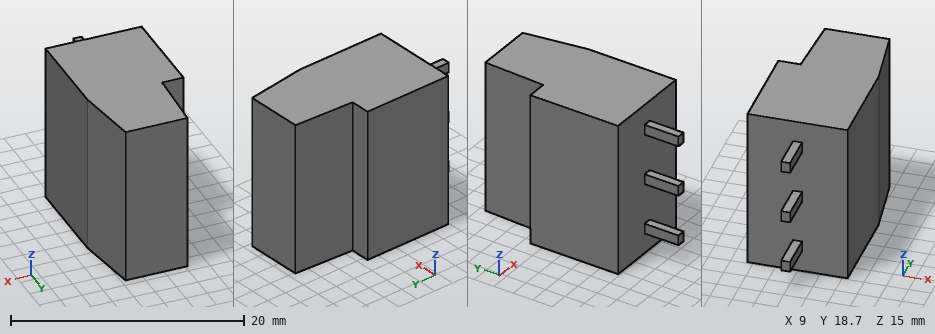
import cadquery as cq

body_width = 9.0
total_depth = 18.7
body_height = 15.0

base_depth = 9.05
pin_length = 3.5
housing_depth = total_depth - pin_length
step_width = 2.0
left_taper = 0.3
right_taper = 0.9

pin_count = 3
pin_pitch = body_height / pin_count
pin_width = 0.8
pin_height = 1.0


def make_housing():
    """Terminal block profile in XY, extruded along Z; pin face at Y = 0."""
    half_width = body_width / 2
    step_x = -half_width + step_width
    profile = [
        (-half_width, 0),
        (half_width, 0),
        (half_width, base_depth),
        (half_width - right_taper, housing_depth),
        (step_x + left_taper, housing_depth),
        (step_x, base_depth),
        (-half_width, base_depth),
    ]
    return cq.Workplane("XY").polyline(profile).close().extrude(body_height)


def make_pin(center_z):
    """Rectangular pin standing out of the Y = 0 face toward -Y."""
    return (
        cq.Workplane("XZ")
        .center(0, center_z)
        .rect(pin_width, pin_height)
        .extrude(pin_length)
    )


result = make_housing()
for index in range(pin_count):
    result = result.union(make_pin((index + 0.5) * pin_pitch))